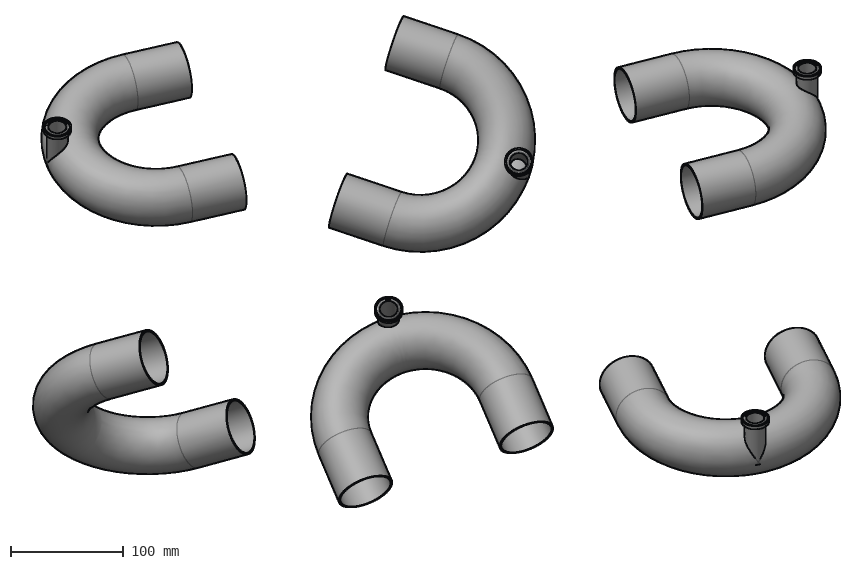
import cadquery as cq
import math

TUBE_OD = 50.8
TUBE_ID = 47.5
BEND_RADIUS = 76.2
LEG_LENGTH = 50.8

BRANCH_OD = 19.05
BRANCH_ID = 15.75
BRANCH_TOP = 41.275
BRANCH_LENGTH = 44.45
BRANCH_Y = -(BEND_RADIUS + TUBE_OD / 2 - BRANCH_OD / 2)

FLANGE_OD = 24.99
FLANGE_RIM = 3.6
FLANGE_BACK_ANGLE = 20.0
RIM_EDGE_RADIUS = 0.8
NECK_FILLET_RADIUS = 0.5
FERRULE_LENGTH = 8.0

GROOVE_OD = 21.89
GROOVE_ID = 18.6
GROOVE_DEPTH = 0.8
GROOVE_LIP_RADIUS = 0.5


def swept_u(diameter):
    """Solid round bar following the U-shaped centreline."""
    path = (
        cq.Workplane("XY")
        .moveTo(-BEND_RADIUS, LEG_LENGTH)
        .lineTo(-BEND_RADIUS, 0)
        .threePointArc((0, -BEND_RADIUS), (BEND_RADIUS, 0))
        .lineTo(BEND_RADIUS, LEG_LENGTH)
    )
    end_plane = cq.Plane(origin=(-BEND_RADIUS, LEG_LENGTH, 0), xDir=(1, 0, 0), normal=(0, -1, 0))
    return cq.Workplane(end_plane).circle(diameter / 2).sweep(path)


def branch_cylinder(diameter, bottom, top):
    """Solid cylinder on the branch axis between two heights."""
    return (
        cq.Workplane("XY", origin=(0, BRANCH_Y, bottom))
        .circle(diameter / 2)
        .extrude(top - bottom)
    )


def on_branch_axis(profile):
    """Revolve a radius-height profile about Z and move it to the ferrule face."""
    return profile.close().revolve(360, (0, 0, 0), (0, 1, 0)).translate((0, BRANCH_Y, BRANCH_TOP))


def ferrule():
    """Flange with a conical clamping back, rounded at the rim and blended into the tube."""
    rim = FLANGE_OD / 2
    neck = BRANCH_OD / 2
    back_drop = (rim - neck) * math.tan(math.radians(FLANGE_BACK_ANGLE))
    neck_height = FLANGE_RIM + back_drop
    profile = (
        cq.Workplane("XZ")
        .lineTo(rim, 0)
        .lineTo(rim, -FLANGE_RIM)
        .lineTo(neck, -neck_height)
        .lineTo(neck, -FERRULE_LENGTH)
        .lineTo(0, -FERRULE_LENGTH)
    )
    flange = on_branch_axis(profile)
    flange = flange.faces("%CONE").edges(">Z").fillet(RIM_EDGE_RADIUS)
    flange = flange.faces("%CONE").edges("<Z").fillet(NECK_FILLET_RADIUS)
    groove_lip = cq.selectors.RadiusNthSelector(0)
    flange = flange.cut(gasket_groove())
    return flange.faces(">Z").edges(groove_lip).fillet(GROOVE_LIP_RADIUS)


def gasket_groove():
    """Ring with a circular-arc bottom, cut into the ferrule face."""
    inner = GROOVE_ID / 2
    outer = GROOVE_OD / 2
    profile = (
        cq.Workplane("XZ")
        .moveTo(inner, 0)
        .threePointArc(((inner + outer) / 2, -GROOVE_DEPTH), (outer, 0))
    )
    return on_branch_axis(profile)


body = swept_u(TUBE_OD)
body = body.union(branch_cylinder(BRANCH_OD, BRANCH_TOP - BRANCH_LENGTH, BRANCH_TOP - FERRULE_LENGTH))
body = body.union(ferrule())
body = body.cut(swept_u(TUBE_ID))
result = body.cut(branch_cylinder(BRANCH_ID, 0, BRANCH_TOP))